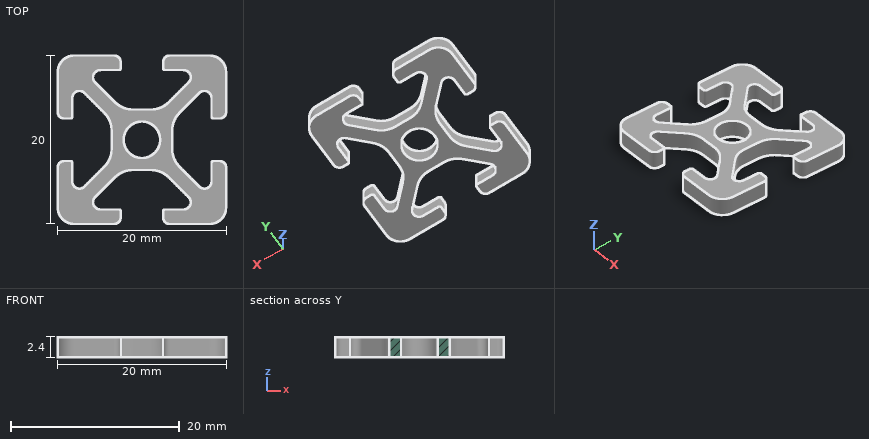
import cadquery as cq

SIDE = 20.0
THICKNESS = 2.4
CORNER_RADIUS = 2.0
BORE_DIAMETER = 4.3

SLOT_WIDTH = 5.0
LIP_THICKNESS = 1.75
CORE_WIDTH = 7.2
WEB_THICKNESS = 1.8
LIP_OUTER_RADIUS = 0.8
LIP_INNER_RADIUS = 0.25
POCKET_RADIUS = 0.85
CORE_RADIUS = 3.0

half_side = SIDE / 2
half_slot = SLOT_WIDTH / 2
half_core = CORE_WIDTH / 2
lip_y = half_side - LIP_THICKNESS
web_offset = WEB_THICKNESS / 2 * 2**0.5
pocket_half_width = lip_y - web_offset
floor_half_width = half_core - web_offset


def fillet_edge(body, x, y, radius):
    """Round the vertical edge at (x, y)."""
    nearest = cq.selectors.NearestToPointSelector((x, y, THICKNESS / 2))
    return body.edges("|Z").edges(nearest).fillet(radius)


def fillet_mirrored(body, x, y, radius):
    """Round the two vertical edges at (-x, y) and (x, y)."""
    body = fillet_edge(body, -x, y, radius)
    return fillet_edge(body, x, y, radius)


def make_slot():
    """Cutter for the slot opening toward +Y, with its inner corners rounded."""
    right_side = [
        (floor_half_width, half_core),
        (pocket_half_width, lip_y),
        (half_slot, lip_y),
        (half_slot, half_side),
    ]
    left_side = [(-x, y) for x, y in reversed(right_side)]
    slot = cq.Workplane("XY").polyline(right_side + left_side).close().extrude(THICKNESS)
    slot = fillet_mirrored(slot, floor_half_width, half_core, CORE_RADIUS)
    slot = fillet_mirrored(slot, pocket_half_width, lip_y, POCKET_RADIUS)
    return fillet_mirrored(slot, half_slot, lip_y, LIP_INNER_RADIUS)


result = cq.Workplane("XY").rect(SIDE, SIDE).extrude(THICKNESS)
result = result.edges("|Z").fillet(CORNER_RADIUS)
result = result.faces(">Z").workplane().hole(BORE_DIAMETER)

slot_cutter = make_slot()
for angle in (0, 90, 180, 270):
    result = result.cut(slot_cutter.rotate((0, 0, 0), (0, 0, 1), angle))

for side_position in (-half_side, half_side):
    for mouth_position in (-half_slot, half_slot):
        result = fillet_edge(result, mouth_position, side_position, LIP_OUTER_RADIUS)
        result = fillet_edge(result, side_position, mouth_position, LIP_OUTER_RADIUS)